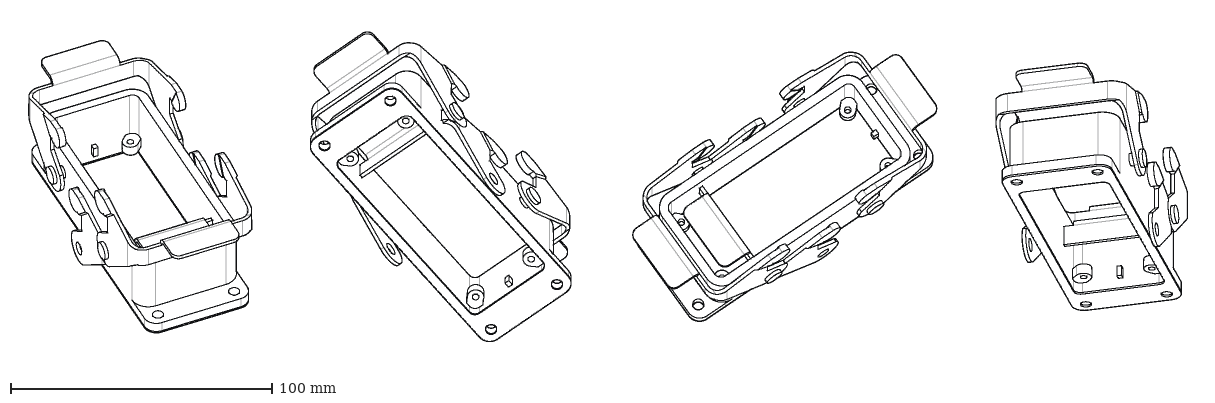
import cadquery as cq
import math

OVERALL_WIDTH = 54.4

BODY_LENGTH = 93.3
BODY_WIDTH = 43.3
BODY_TOP = 28.6
BODY_CORNER_RADIUS = 6.9
CAVITY_LENGTH = 86.3
CAVITY_WIDTH = 35.8
CAVITY_CORNER_RADIUS = 2.8

FLANGE_LENGTH = 112.8
FLANGE_TOP = 4.9
FLANGE_CORNER_RADIUS = 5.0
GASKET_THICKNESS = 0.8
MOUNT_HOLE_DIAMETER = 4.3
MOUNT_HOLE_X = 51.5
MOUNT_HOLE_Y = 16.0

LUG_HOLE_DIAMETER = 2.5
LUG_WIDTH = 6.3
LUG_X = 38.8
LUG_Y = 13.5
LUG_BOTTOM = FLANGE_TOP
LUG_HEIGHT = 4.1
KEY_DEPTH = 2.3
KEY_WIDTH = 1.9

PIN_DIAMETER = 4.9
PIN_HEAD_DIAMETER = 7.0
PIN_HEAD_END = OVERALL_WIDTH / 2
PIVOT_X = 23.8
PIVOT_Z = 18.9
SPARE_PIVOT_Z = 0.4

SHEET = 1.5
ARM_OUTER = 25.8
ARM_INNER = ARM_OUTER - SHEET
PLATE_OUTER = 27.3
PLATE_BOTTOM = 12.5
PLATE_TOP = 20.4
BEND_RADIUS = 6.0
LEVER_HOLE_DIAMETER = 5.0
LOBE_RADIUS = 7.0
LOBE_RISE = 0.5
LOBE_END_ANGLE = math.radians(32)
LOWER_EDGE_ANGLE = math.radians(39.5)
UPPER_EDGE_ANGLE = math.radians(15)
NOTCH_X = -2.4
NOTCH_BOTTOM = 10.6
NOTCH_TOP = 18.9
HOOK_X = 3.0
HOOK_Z = 22.4
HOOK_RADIUS = 4.6
HOOK_TOP = 26.9
HOOK_TOP_START = -1.0
HOOK_OUTER_STEP = 0.8
HOOK_INNER_STEP = 0.4

TAB_END = 38.8
TAB_WIDTH = 28.3
TAB_CORNER_RADIUS = 3.1
TAB_BEND_RADIUS = 2 * SHEET

SIDES = (-1, 1)
CORNERS = [(sx, sy) for sx in SIDES for sy in SIDES]
COS_45 = math.sqrt(0.5)


def rounded_block(length, width, radius, bottom, top):
    block = cq.Workplane("XY").workplane(offset=bottom).rect(length, width).extrude(top - bottom)
    return block.edges("|Z").fillet(radius)


def bar_y(x, z, diameter, start, end):
    """Round bar along Y from start to end."""
    return cq.Workplane("XZ", origin=(x, start, z)).circle(diameter / 2).extrude(start - end)


def cavity():
    return rounded_block(CAVITY_LENGTH, CAVITY_WIDTH, CAVITY_CORNER_RADIUS, 0, BODY_TOP)


def mounting_holes():
    points = [(sx * MOUNT_HOLE_X, sy * MOUNT_HOLE_Y) for sx, sy in CORNERS]
    return cq.Workplane("XY").pushPoints(points).circle(MOUNT_HOLE_DIAMETER / 2).extrude(FLANGE_TOP)


def flange_slab(bottom, top):
    return rounded_block(FLANGE_LENGTH, BODY_WIDTH, FLANGE_CORNER_RADIUS, bottom, top)


def make_gasket():
    return flange_slab(0, GASKET_THICKNESS).cut(cavity()).cut(mounting_holes())


def screw_lug(sx, sy):
    """Round-ended lug running diagonally from a cavity corner, with a screw hole."""
    plane = cq.Workplane("XY", origin=(sx * LUG_X, sy * LUG_Y, LUG_BOTTOM))
    arm = (
        plane.transformed(rotate=(0, 0, math.degrees(math.atan2(sy, sx))))
        .center(LUG_WIDTH / 2, 0)
        .rect(LUG_WIDTH, LUG_WIDTH)
        .extrude(LUG_HEIGHT)
    )
    hole = plane.circle(LUG_HOLE_DIAMETER / 2).extrude(LUG_HEIGHT)
    return plane.circle(LUG_WIDTH / 2).extrude(LUG_HEIGHT).union(arm).cut(hole)


def end_key(side):
    """Small block standing on the inside of an end wall."""
    x = side * (CAVITY_LENGTH - KEY_DEPTH) / 2
    return (
        cq.Workplane("XY", origin=(x, 0, LUG_BOTTOM))
        .rect(KEY_DEPTH, KEY_WIDTH)
        .extrude(LUG_HEIGHT)
    )


def hinge_pin(x, side):
    shank = bar_y(x, PIVOT_Z, PIN_DIAMETER, side * BODY_WIDTH / 2, side * ARM_OUTER)
    head = bar_y(x, PIVOT_Z, PIN_HEAD_DIAMETER, side * ARM_OUTER, side * PIN_HEAD_END)
    return shank.union(head)


def make_housing():
    outside = rounded_block(BODY_LENGTH, BODY_WIDTH, BODY_CORNER_RADIUS, GASKET_THICKNESS, BODY_TOP)
    housing = outside.union(flange_slab(GASKET_THICKNESS, FLANGE_TOP))
    housing = housing.cut(cavity()).cut(mounting_holes())
    for sx, sy in CORNERS:
        housing = housing.union(screw_lug(sx, sy))
        housing = housing.union(hinge_pin(sx * PIVOT_X, sy))
    for side in SIDES:
        housing = housing.union(end_key(side))
    return housing


HOOK_TOP_END = HOOK_X + math.sqrt(HOOK_RADIUS**2 - (HOOK_TOP - HOOK_Z) ** 2)
HOOK_UNDER_END = HOOK_X - math.sqrt(HOOK_RADIUS**2 - (NOTCH_TOP - HOOK_Z) ** 2)
HOOK_TIP = (HOOK_X + HOOK_RADIUS, HOOK_Z)


def lever_side():
    """Closed side outline of a lever."""
    lobe_end = (
        LOBE_RADIUS * math.cos(LOBE_END_ANGLE),
        LOBE_RISE + LOBE_RADIUS * math.sin(LOBE_END_ANGLE),
    )
    lobe_start = (
        -LOBE_RADIUS * math.sin(LOWER_EDGE_ANGLE),
        LOBE_RISE - LOBE_RADIUS * math.cos(LOWER_EDGE_ANGLE),
    )
    lower_corner_x = lobe_start[0] - (PLATE_BOTTOM - lobe_start[1]) / math.tan(LOWER_EDGE_ANGLE)
    upper_corner_x = HOOK_TOP_START - (HOOK_TOP - PLATE_TOP) / math.tan(UPPER_EDGE_ANGLE)
    return (
        cq.Workplane("XZ")
        .moveTo(*lobe_start)
        .lineTo(lower_corner_x, PLATE_BOTTOM)
        .lineTo(-PLATE_OUTER, PLATE_BOTTOM)
        .lineTo(-PLATE_OUTER, PLATE_TOP)
        .lineTo(upper_corner_x, PLATE_TOP)
        .lineTo(HOOK_TOP_START, HOOK_TOP)
        .lineTo(HOOK_TOP_END, HOOK_TOP)
        .threePointArc(HOOK_TIP, (HOOK_UNDER_END, NOTCH_TOP))
        .lineTo(NOTCH_X, NOTCH_TOP)
        .lineTo(NOTCH_X, NOTCH_BOTTOM)
        .lineTo(*lobe_end)
        .threePointArc((0, LOBE_RISE - LOBE_RADIUS), lobe_start)
        .close()
    )


def bent_sheet():
    """Upright U of sheet, open toward +X, as high and long as the whole lever."""
    length = 2 * PLATE_OUTER
    height = HOOK_TOP + LOBE_RADIUS
    plane = cq.Workplane("XY", origin=(0, 0, -LOBE_RADIUS))
    outside = plane.rect(length, 2 * ARM_OUTER).extrude(height)
    outside = outside.edges("|Z and <X").fillet(BEND_RADIUS)
    inside = plane.center(SHEET, 0).rect(length, 2 * ARM_INNER).extrude(height)
    inside = inside.edges("|Z and <X").fillet(BEND_RADIUS - SHEET)
    return outside.cut(inside)


def hook_outer_pad(side):
    """Outer thickening of a hook, with a 45 degree ramp along a 45 degree line from the notch corner."""
    slope = math.tan(UPPER_EDGE_ANGLE)
    top_at_notch = HOOK_TOP - (HOOK_TOP_START - NOTCH_X) * slope
    rise = (top_at_notch - NOTCH_TOP) / (1 + slope)
    pad = (
        cq.Workplane("XZ", origin=(0, side * ARM_OUTER, 0))
        .moveTo(NOTCH_X, NOTCH_TOP)
        .lineTo(NOTCH_X - rise, NOTCH_TOP + rise)
        .lineTo(HOOK_TOP_START, HOOK_TOP)
        .lineTo(HOOK_TOP_END, HOOK_TOP)
        .threePointArc(HOOK_TIP, (HOOK_UNDER_END, NOTCH_TOP))
        .close()
        .extrude(-side * HOOK_OUTER_STEP)
    )
    ramp = (
        cq.Workplane(cq.Plane((NOTCH_X, side * ARM_OUTER, NOTCH_TOP), (1, 0, 1), (-1, 0, 1)))
        .polyline([(0, 0), (0, side * HOOK_OUTER_STEP), (HOOK_OUTER_STEP, side * HOOK_OUTER_STEP)])
        .close()
        .extrude(HOOK_TOP, both=True)
    )
    return pad.cut(ramp)


def hook_inner_pad(side):
    """Inner thickening of a hook: its round end, bounded by a straight chord."""
    return (
        cq.Workplane("XZ", origin=(0, side * ARM_INNER, 0))
        .moveTo(HOOK_TOP_END, HOOK_TOP)
        .threePointArc(HOOK_TIP, (HOOK_UNDER_END, NOTCH_TOP))
        .close()
        .extrude(side * HOOK_INNER_STEP)
    )


def finger_tab():
    """Tab curling outward from the top edge of the cross plate."""
    bend_start = -(PLATE_OUTER + SHEET)
    tab_top = PLATE_TOP + TAB_BEND_RADIUS
    tab = (
        cq.Workplane("XZ")
        .moveTo(-PLATE_OUTER, PLATE_TOP)
        .threePointArc(
            (bend_start + SHEET * COS_45, PLATE_TOP + SHEET * COS_45),
            (bend_start, PLATE_TOP + SHEET),
        )
        .lineTo(-TAB_END, PLATE_TOP + SHEET)
        .lineTo(-TAB_END, tab_top)
        .lineTo(bend_start, tab_top)
        .threePointArc(
            (bend_start + TAB_BEND_RADIUS * COS_45, PLATE_TOP + TAB_BEND_RADIUS * COS_45),
            (bend_start + TAB_BEND_RADIUS, PLATE_TOP),
        )
        .close()
        .extrude(TAB_WIDTH / 2, both=True)
    )
    return tab.edges("|Z and <X").fillet(TAB_CORNER_RADIUS)


def make_lever(x, z, hook_direction):
    """Lever with its pivot at (x, z) and its hooks toward +X or -X."""
    lever = bent_sheet().intersect(lever_side().extrude(PIN_HEAD_END, both=True))
    for side in SIDES:
        lever = lever.union(hook_outer_pad(side)).union(hook_inner_pad(side))
    lever = lever.union(finger_tab())
    lever = lever.cut(bar_y(0, 0, LEVER_HOLE_DIAMETER, -PIN_HEAD_END, PIN_HEAD_END))
    if hook_direction < 0:
        lever = lever.mirror("YZ")
    return lever.translate((x, 0, z))


def make_spare_lever(neighbour):
    """Loose right-handed lever, cut back where the neighbour lever and its pins stand."""
    lever = make_lever(0, SPARE_PIVOT_Z, -1).cut(neighbour)
    for side in SIDES:
        wall = side * BODY_WIDTH / 2
        lever = lever.cut(bar_y(PIVOT_X, PIVOT_Z, LEVER_HOLE_DIAMETER, wall, side * ARM_OUTER))
    return cq.Workplane(max(lever.solids().vals(), key=lambda solid: solid.Volume()))


gasket = make_gasket()
left_lever = make_lever(-PIVOT_X, PIVOT_Z, 1)
right_lever = make_lever(PIVOT_X, PIVOT_Z, -1)
spare_lever = make_spare_lever(right_lever)

housing = make_housing().cut(spare_lever)

bodies = [housing, gasket, left_lever, right_lever, spare_lever]
result = cq.Compound.makeCompound([body.solids().val() for body in bodies])